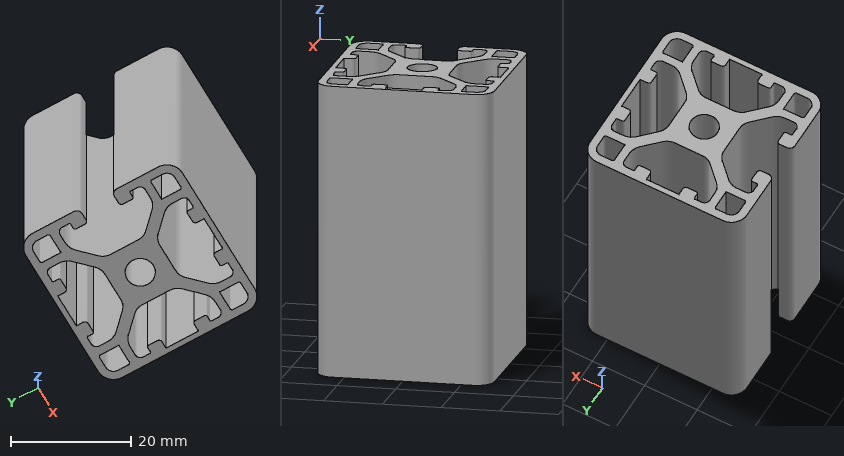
import cadquery as cq

length = 50.0
width = 30.0
half_width = width / 2
corner_radius = 3.0

outer_wall = 1.5
web = 1.5
closed_slot_wall = 1.0

slot_half_width = 3.1
lip_thickness = 2.9
lip_width = 2.6
cavity_half_width = 8.15
undercut_radius = 1.0
lip_slot_radius = 0.6
lip_inner_radius = 0.35
lip_root_radius = 0.2
mouth_radius = 1.0

core_half_width = 5.25
arm_offset = 1.5
core_bend_radius = 2.75
arm_bend_radius = 3.0
bore_diameter = 5.0

pocket_outer_radius = corner_radius - outer_wall
pocket_side_radius = 0.35

inner_face = half_width - outer_wall
lip_face = half_width - lip_thickness
lip_outer = slot_half_width + lip_width


def box_between(x_min, x_max, y_min, y_max):
    """Full-length bar with the given limits in X and Y."""
    bar = cq.Workplane("XY").box(x_max - x_min, y_max - y_min, length, centered=False)
    return bar.translate((x_min, y_min, 0))


def round_edges(body, radius, points):
    """Round the full-length edges that pass nearest to the given (x, y) points."""
    for x, y in points:
        edge = cq.selectors.NearestToPointSelector((x, y, length / 2))
        body = body.edges("|Z").edges(edge).fillet(radius)
    return body


def both_sides(x, y):
    return [(x, y), (x, -y)]


def slot_cavity(depth_face):
    """Slot opening toward +X, with its neck reaching out to depth_face."""
    arm_end = cavity_half_width + arm_offset
    core_end = core_half_width - arm_offset
    upper = [
        (core_half_width, core_end),
        (arm_end, cavity_half_width),
        (inner_face, cavity_half_width),
        (inner_face, lip_outer),
        (lip_face, lip_outer),
        (lip_face, slot_half_width),
        (depth_face, slot_half_width),
    ]
    lower = [(x, -y) for x, y in reversed(upper)]
    cavity = cq.Workplane("XY").polyline(upper + lower).close().extrude(length)
    cavity = round_edges(cavity, core_bend_radius, both_sides(core_half_width, core_end))
    cavity = round_edges(cavity, arm_bend_radius, both_sides(arm_end, cavity_half_width))
    cavity = round_edges(cavity, undercut_radius, both_sides(inner_face, cavity_half_width))
    cavity = round_edges(cavity, lip_root_radius, both_sides(inner_face, lip_outer))
    cavity = round_edges(cavity, lip_inner_radius, both_sides(lip_face, lip_outer))
    return round_edges(cavity, lip_slot_radius, both_sides(lip_face, slot_half_width))


def corner_pocket():
    """Hollow in the +X +Y corner, bounded by the webs beside the slots."""
    inner = cavity_half_width + web
    pocket = box_between(inner, inner_face, inner, inner_face)
    pocket = round_edges(pocket, pocket_outer_radius, [(inner_face, inner_face)])
    return round_edges(pocket, pocket_side_radius, [(inner_face, inner), (inner, inner_face)])


def turned(body, angle):
    return body.rotate((0, 0, 0), (0, 0, 1), angle)


profile = cq.Workplane("XY").rect(width, width).extrude(length).edges("|Z").fillet(corner_radius)
profile = profile.cut(cq.Workplane("XY").circle(bore_diameter / 2).extrude(length))

for quarter_turn in (0, 90, 180, 270):
    profile = profile.cut(turned(corner_pocket(), quarter_turn))

for quarter_turn in (0, 90, 270):
    closed_slot = slot_cavity(half_width - closed_slot_wall)
    profile = profile.cut(turned(closed_slot, quarter_turn))

open_slot = slot_cavity(half_width)
profile = profile.cut(turned(open_slot, 180))
profile = round_edges(profile, mouth_radius, both_sides(-half_width, slot_half_width))

result = profile